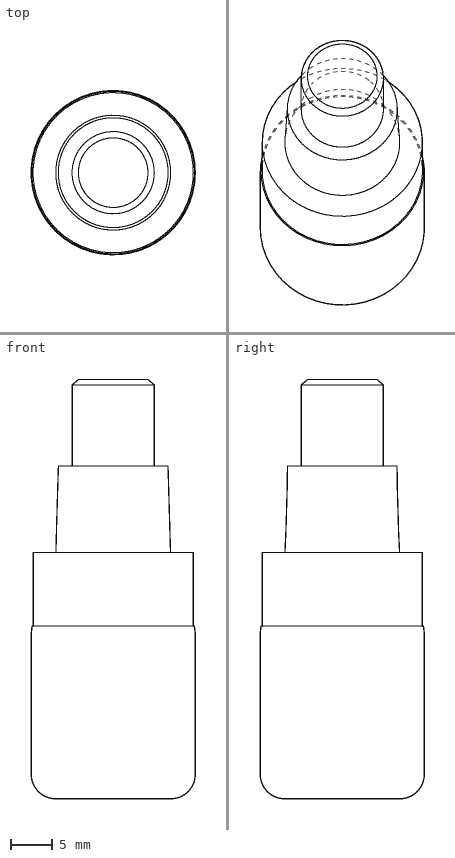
import cadquery as cq

total_height = 51.0
pin_length = 10.5
taper_length = 10.5
collar_length = 9.0
knob_height = total_height - pin_length - taper_length - collar_length

pin_diameter = 10.0
pin_chamfer_width = 0.75
pin_chamfer_height = 0.65
taper_top_diameter = 13.35
taper_base_diameter = 13.95
collar_diameter = 19.5

knob_diameter = 20.0
knob_rim_diameter = 19.8
knob_rim_height = 0.9
knob_bottom_radius = 3.0


def make_plunger():
    """Chamfered pin, slightly conical shank and collar, standing on the knob."""
    collar_top = knob_height + collar_length
    taper_top = collar_top + taper_length
    pin_radius = pin_diameter / 2
    profile = (
        cq.Workplane("XZ")
        .moveTo(0, knob_height)
        .lineTo(collar_diameter / 2, knob_height)
        .lineTo(collar_diameter / 2, collar_top)
        .lineTo(taper_base_diameter / 2, collar_top)
        .lineTo(taper_top_diameter / 2, taper_top)
        .lineTo(pin_radius, taper_top)
        .lineTo(pin_radius, total_height - pin_chamfer_height)
        .lineTo(pin_radius - pin_chamfer_width, total_height)
        .lineTo(0, total_height)
        .close()
    )
    return profile.revolve(360, (0, 0), (0, 1))


def make_knob():
    """Round knob with a narrowed rim on top and a rounded bottom edge."""
    knob_radius = knob_diameter / 2
    profile = (
        cq.Workplane("XZ")
        .lineTo(knob_radius, 0)
        .lineTo(knob_radius, knob_height - knob_rim_height)
        .lineTo(knob_rim_diameter / 2, knob_height)
        .lineTo(0, knob_height)
        .close()
    )
    knob = profile.revolve(360, (0, 0), (0, 1))
    return knob.faces("<Z").edges().fillet(knob_bottom_radius)


plunger = make_plunger()
knob = make_knob()

result = cq.Compound.makeCompound([plunger.val(), knob.val()])